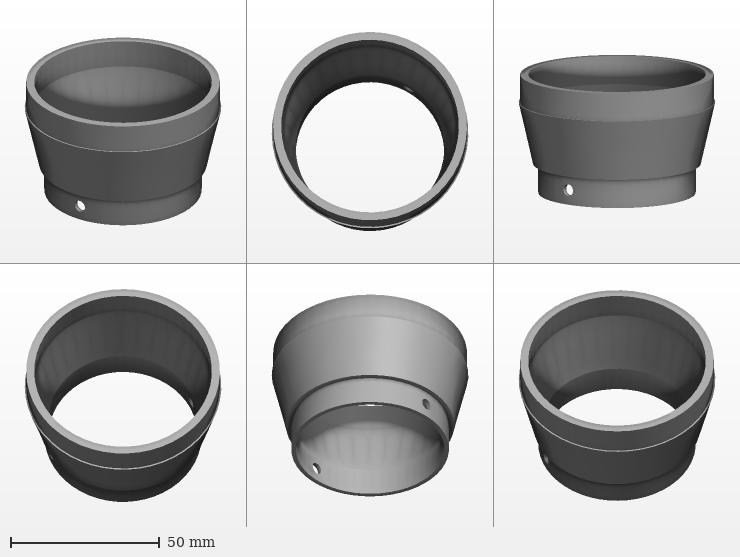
import cadquery as cq

total_height = 40.46
spigot_height = 10.0
cone_height = 21.0
cone_top_z = spigot_height + cone_height

spigot_diameter = 52.9
cone_bottom_diameter = 56.4
cone_top_diameter = 66.0
collar_diameter = 65.0

lower_bore_diameter = 49.9
upper_bore_diameter = 59.6

cross_hole_diameter = 4.0
cross_hole_z = spigot_height / 2


def make_adapter_body():
    """Revolve the wall section of the stepped, tapered ring about Z."""
    wall = (
        cq.Workplane("XZ")
        .moveTo(lower_bore_diameter / 2, 0)
        .lineTo(spigot_diameter / 2, 0)
        .lineTo(spigot_diameter / 2, spigot_height)
        .lineTo(cone_bottom_diameter / 2, spigot_height)
        .lineTo(cone_top_diameter / 2, cone_top_z)
        .lineTo(collar_diameter / 2, cone_top_z)
        .lineTo(collar_diameter / 2, total_height)
        .lineTo(upper_bore_diameter / 2, total_height)
        .lineTo(upper_bore_diameter / 2, cone_top_z)
        .lineTo(lower_bore_diameter / 2, spigot_height)
        .close()
    )
    return wall.revolve(360, (0, 0, 0), (0, 1, 0))


def make_cross_hole():
    """Cylinder along Y that passes through the front and back of the spigot."""
    return (
        cq.Workplane("XZ")
        .center(0, cross_hole_z)
        .circle(cross_hole_diameter / 2)
        .extrude(spigot_diameter, both=True)
    )


result = make_adapter_body().cut(make_cross_hole())